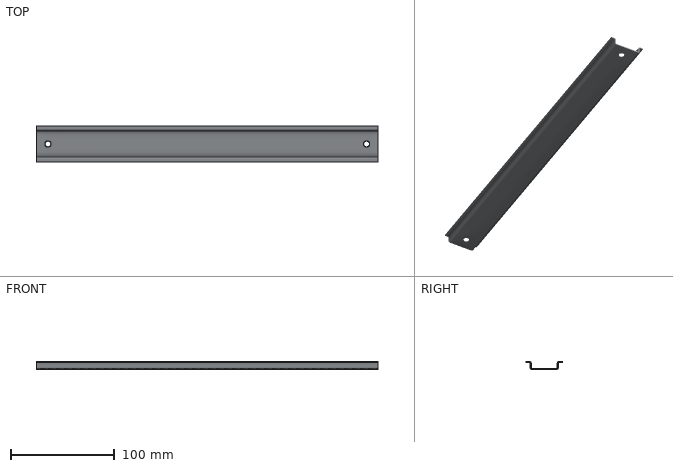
import cadquery as cq

length = 329.0
width = 35.0
height = 7.5

thickness = 1.0
channel_width = 27.0
inner_bend_radius = 0.82
outer_bend_radius = inner_bend_radius + thickness

hole_diameter = 5.5
hole_end_distance = 11.2


def rail_profile():
    """Closed hat section in the YZ plane, centred on Y with its floor at Z = 0."""
    lip = width / 2
    web_outside = channel_width / 2
    web_inside = web_outside - thickness
    right_half = [
        (web_outside, 0),
        (web_outside, height - thickness),
        (lip, height - thickness),
        (lip, height),
        (web_inside, height),
        (web_inside, thickness),
    ]
    left_half = [(-y, z) for y, z in reversed(right_half)]
    return cq.Workplane("YZ", origin=(-length / 2, 0, 0)).polyline(right_half + left_half).close()


def edges_along_x(y, z):
    """Selector for the pair of lengthwise edges at +y and -y."""
    tolerance = 0.03
    boxes = [
        cq.selectors.BoxSelector(
            (-length, side * y - tolerance, z - tolerance),
            (length, side * y + tolerance, z + tolerance),
            boundingbox=False,
        )
        for side in (-1, 1)
    ]
    return boxes[0] + boxes[1]


def round_bends(rail):
    web_outside = channel_width / 2
    web_inside = web_outside - thickness
    inner_bends = edges_along_x(web_inside, thickness) + edges_along_x(web_outside, height - thickness)
    outer_bends = edges_along_x(web_outside, 0) + edges_along_x(web_inside, height)
    rail = rail.edges(inner_bends).fillet(inner_bend_radius)
    return rail.edges(outer_bends).fillet(outer_bend_radius)


def mounting_holes():
    hole_x = length / 2 - hole_end_distance
    centres = [(-hole_x, 0), (hole_x, 0)]
    return cq.Workplane("XY").pushPoints(centres).circle(hole_diameter / 2).extrude(height)


result = round_bends(rail_profile().extrude(length)).cut(mounting_holes())